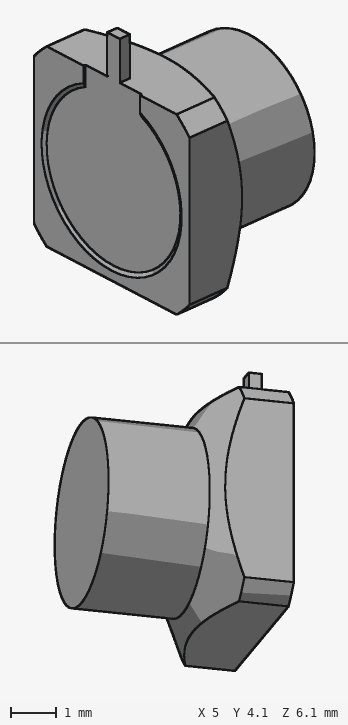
import cadquery as cq
import math

flange_side = 5.0
corner_cut = 0.415
shoulder_start = 1.13
half_side = flange_side / 2
corner_radius = math.hypot(half_side, half_side - corner_cut)

total_depth = 4.1
barrel_radius = 2.1
shoulder_angle = 30.0
shoulder_end = shoulder_start + (corner_radius - barrel_radius) * math.tan(math.radians(shoulder_angle))

recess_depth = 0.055
recess_mouth_radius = 2.25
recess_floor_radius = 2.15
slot_width = 1.805

tab_width = 0.4
tab_thickness = 0.3
total_height = 6.1
tab_height = total_height - flange_side


def make_body():
    """Turned body whose front end is trimmed to a square with rounded corners."""
    turned = (
        cq.Workplane("XY")
        .lineTo(corner_radius, 0)
        .lineTo(corner_radius, shoulder_start)
        .lineTo(barrel_radius, shoulder_end)
        .lineTo(barrel_radius, total_depth)
        .lineTo(0, total_depth)
        .close()
        .revolve(360, (0, 0, 0), (0, 1, 0))
    )
    square = cq.Workplane("XY").box(flange_side, total_depth, flange_side, centered=(True, False, True))
    return turned.intersect(square)


def make_recess():
    """Conical recess joined to a straight slot that opens at the top edge."""
    dish = (
        cq.Workplane("XY")
        .lineTo(recess_mouth_radius, 0)
        .lineTo(recess_floor_radius, recess_depth)
        .lineTo(0, recess_depth)
        .close()
        .revolve(360, (0, 0, 0), (0, 1, 0))
    )
    slot = cq.Workplane("XY").box(slot_width, recess_depth, half_side, centered=(True, False, False))
    return dish.union(slot)


def make_tab():
    """Upright tab whose front is level with the recess floor, rooted inside the flange."""
    return (
        cq.Workplane("XY")
        .box(tab_width, tab_thickness, half_side + tab_height, centered=(True, False, False))
        .translate((0, recess_depth, 0))
    )


result = make_body().cut(make_recess()).union(make_tab())